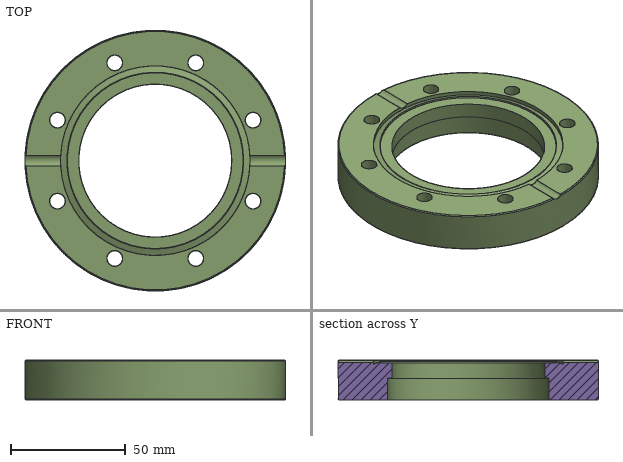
import cadquery as cq
import math

outer_diameter = 113.5
thickness = 17.5
rim_chamfer = 0.5

bore_diameter = 66.5
socket_diameter = 70.3
inner_face_drop = 1.2
bore_length = 6.7
socket_depth = thickness - inner_face_drop - bore_length

recess_diameter = 82.5
knife_diameter = 77.0
knife_drop = 0.7
knife_slope = 20.0
knife_step_run = 0.2

bolt_count = 8
bolt_circle_diameter = 92.2
bolt_hole_diameter = 6.7
first_bolt_angle = 180 / bolt_count

channel_width = 4.5
channel_depth = 1.0


def flange_body():
    """Revolve the ring section, including bore, knife edge and recess."""
    outer_radius = outer_diameter / 2
    bore_radius = bore_diameter / 2
    socket_radius = socket_diameter / 2
    knife_radius = knife_diameter / 2
    recess_radius = recess_diameter / 2
    knife_z = thickness - knife_drop
    inner_face_z = thickness - inner_face_drop
    slope_fall = (recess_radius - knife_radius) * math.tan(math.radians(knife_slope))
    section = (
        cq.Workplane("XZ")
        .moveTo(socket_radius, 0)
        .lineTo(outer_radius - rim_chamfer, 0)
        .lineTo(outer_radius, rim_chamfer)
        .lineTo(outer_radius, thickness - rim_chamfer)
        .lineTo(outer_radius - rim_chamfer, thickness)
        .lineTo(recess_radius, thickness)
        .lineTo(recess_radius, knife_z - slope_fall)
        .lineTo(knife_radius, knife_z)
        .lineTo(knife_radius - knife_step_run, inner_face_z)
        .lineTo(bore_radius, inner_face_z)
        .lineTo(bore_radius, socket_depth)
        .lineTo(socket_radius, socket_depth)
        .close()
    )
    return section.revolve(360, (0, 0, 0), (0, 1, 0))


def bolt_holes():
    """Cylinders for the ring of through holes."""
    return (
        cq.Workplane("XY")
        .polarArray(bolt_circle_diameter / 2, first_bolt_angle, 360, bolt_count)
        .circle(bolt_hole_diameter / 2)
        .extrude(thickness)
    )


def leak_channel(side):
    """Cylindrical cutter from the recess to the rim; side is +1 or -1 along X."""
    radius = ((channel_width / 2) ** 2 + channel_depth**2) / (2 * channel_depth)
    center_z = thickness - channel_depth + radius
    start = knife_diameter / 2 + (recess_diameter - knife_diameter) / 4
    return (
        cq.Workplane("YZ", origin=(side * start, 0, 0))
        .center(0, center_z)
        .circle(radius)
        .extrude(side * (outer_diameter / 2 - start))
    )


result = flange_body().cut(bolt_holes())
for side in (-1, 1):
    result = result.cut(leak_channel(side))